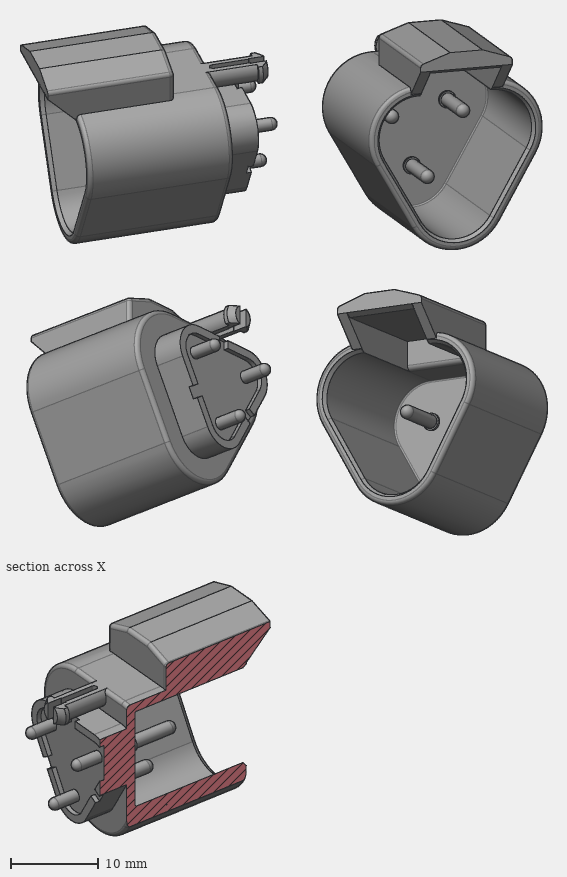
import cadquery as cq
import math


SHELL_LENGTH = 17.3
SHELL_HALF_SIDE = 4.42
SHELL_RADIUS = 6.09
SHELL_EDGE_RADIUS = 0.5
SHELL_TOP = SHELL_HALF_SIDE / math.sqrt(3) + SHELL_RADIUS

RIM_WALL = 0.93
LEAD_IN_DEPTH = 0.5
CAVITY_WALL = 1.26
CAVITY_RADIUS = SHELL_RADIUS - CAVITY_WALL
CAVITY_ROOF = SHELL_TOP - CAVITY_WALL
CAVITY_DEPTH = SHELL_LENGTH - CAVITY_WALL
FLOOR_EDGE_RADIUS = 0.16

PLUG_END = 21.19
PLUG_RADIUS = 3.2
PLUG_WALL = 1.0
RECESS_DEPTH = 0.6
VENT_WIDTH = 1.46

PIN_HALF_SIDE = 4.31
PIN_RADIUS_FRONT = 0.8
PIN_RADIUS_REAR = 0.75
PIN_FRONT_TIP = 9.6
PIN_REAR_TIP = 24.31
COLLAR_RADIUS = 1.0
COLLAR_HEIGHT = 0.3

LATCH_TOP = 13.24
LATCH_HALF_WIDTH = 5.57
LATCH_FLAT_HALF_WIDTH = 1.97
LATCH_SHOULDER = 12.06
LATCH_REAR = 11.68
LATCH_OVERHANG = 3.47
LATCH_FACE_LEAN = 0.08
LATCH_LIP_HEIGHT = 11.24
LATCH_EDGE_RADIUS = 0.5
POCKET_HALF_WIDTH = 4.31
POCKET_REAR = LATCH_REAR - (LATCH_HALF_WIDTH - POCKET_HALF_WIDTH)
POCKET_BEVEL_HEIGHT = 0.42
POCKET_BEVEL_LENGTH = 0.77
POCKET_EDGE_RADIUS = 0.6

STEM_RADIUS = 1.49
STEM_HEIGHT = 2.22
STEM_TIP = 24.16
STEM_ROOT = SHELL_LENGTH - 2 * SHELL_EDGE_RADIUS
HEAD_RADIUS = 1.91
HEAD_TIP_RADIUS = 1.26
HEAD_BEVEL_LENGTH = 0.76
HEAD_LENGTH = 1.26
SLIT_WIDTH = 0.8
SLIT_END = 17.52
SLIT_MOUTH_WIDTH = 1.0
SLIT_MOUTH_DEPTH = 1.83


def section_plane(y):
    """X-Z sketch plane at the given y; sketches on it extrude toward +Y with a negative length."""
    return cq.Workplane("XZ", origin=(0, y, 0))


def triangle_corners(half_side):
    """Corners of an equilateral triangle about the origin, pointing down."""
    base_height = half_side / math.sqrt(3)
    return [(-half_side, base_height), (half_side, base_height), (0, -2 * base_height)]


def rounded_triangle(half_side, radius, y):
    return section_plane(y).polyline(triangle_corners(half_side)).close().offset2D(radius)


def rounded_prism(half_side, radius, y_start, y_end):
    return rounded_triangle(half_side, radius, y_start).extrude(y_start - y_end)


def tapered_prism(radius_start, y_start, radius_end, y_end):
    """Straight-sided transition between two shell sections of different corner radius."""
    start = rounded_triangle(SHELL_HALF_SIDE, radius_start, y_start).val()
    end = rounded_triangle(SHELL_HALF_SIDE, radius_end, y_end).val()
    return cq.Workplane(cq.Solid.makeLoft([start, end], True))


def make_shell():
    body = rounded_prism(SHELL_HALF_SIDE, SHELL_RADIUS, 0, SHELL_LENGTH)
    return body.faces("<Y or >Y").edges().fillet(SHELL_EDGE_RADIUS)


def make_cavity():
    lead_in = tapered_prism(SHELL_RADIUS - RIM_WALL, 0, CAVITY_RADIUS, LEAD_IN_DEPTH)
    bore = rounded_prism(SHELL_HALF_SIDE, CAVITY_RADIUS, 0, CAVITY_DEPTH)
    return bore.faces(">Y").edges().fillet(FLOOR_EDGE_RADIUS).union(lead_in)


def make_latch():
    length = LATCH_REAR + LATCH_OVERHANG
    base = LATCH_LIP_HEIGHT - LATCH_OVERHANG
    roof = (
        section_plane(-LATCH_OVERHANG)
        .moveTo(-LATCH_HALF_WIDTH, base)
        .lineTo(-LATCH_HALF_WIDTH, LATCH_SHOULDER)
        .lineTo(-LATCH_FLAT_HALF_WIDTH, LATCH_TOP)
        .lineTo(LATCH_FLAT_HALF_WIDTH, LATCH_TOP)
        .lineTo(LATCH_HALF_WIDTH, LATCH_SHOULDER)
        .lineTo(LATCH_HALF_WIDTH, base)
        .close()
        .extrude(-length)
    )
    shoulder_box = cq.selectors.BoxSelector(
        (-2 * LATCH_HALF_WIDTH, -2 * length, LATCH_SHOULDER - LATCH_EDGE_RADIUS),
        (2 * LATCH_HALF_WIDTH, 2 * length, LATCH_SHOULDER + LATCH_EDGE_RADIUS),
    )
    roof = roof.edges("|Y").edges(shoulder_box).fillet(LATCH_EDGE_RADIUS)
    roof = roof.faces(">Y").edges("not <Z").fillet(LATCH_EDGE_RADIUS)

    side_outline = (
        cq.Workplane("YZ")
        .moveTo(LATCH_REAR, base)
        .lineTo(LATCH_REAR, LATCH_TOP)
        .lineTo(LATCH_FACE_LEAN - LATCH_OVERHANG, LATCH_TOP)
        .lineTo(-LATCH_OVERHANG, LATCH_LIP_HEIGHT)
        .lineTo(0, base)
        .close()
        .extrude(LATCH_HALF_WIDTH, both=True)
    )
    return roof.intersect(side_outline)


def make_pocket():
    """Space under the latch, open to the front and into the cavity, with a rounded rear lower edge."""
    roof_height = LATCH_LIP_HEIGHT - POCKET_BEVEL_HEIGHT
    return (
        cq.Workplane("YZ")
        .moveTo(-LATCH_OVERHANG, LATCH_LIP_HEIGHT)
        .lineTo(POCKET_BEVEL_LENGTH - LATCH_OVERHANG, roof_height)
        .lineTo(POCKET_REAR, roof_height)
        .lineTo(POCKET_REAR, CAVITY_ROOF + POCKET_EDGE_RADIUS)
        .radiusArc((POCKET_REAR + POCKET_EDGE_RADIUS, CAVITY_ROOF), -POCKET_EDGE_RADIUS)
        .lineTo(-LATCH_OVERHANG, CAVITY_ROOF)
        .close()
        .extrude(POCKET_HALF_WIDTH, both=True)
    )


def make_plug():
    plug = rounded_prism(PIN_HALF_SIDE, PLUG_RADIUS, CAVITY_DEPTH, PLUG_END)
    recess_floor = PLUG_END - RECESS_DEPTH
    plug = plug.cut(rounded_prism(PIN_HALF_SIDE, PLUG_RADIUS - PLUG_WALL, recess_floor, PLUG_END))

    wall_outside = PIN_HALF_SIDE / math.sqrt(3) + PLUG_RADIUS
    vent = cq.Workplane("XY").box(
        VENT_WIDTH, RECESS_DEPTH, 2 * PLUG_WALL
    ).translate((0, PLUG_END - RECESS_DEPTH / 2, wall_outside - PLUG_WALL / 2))
    for angle in (0, 120, 240):
        plug = plug.cut(vent.rotate((0, 0, 0), (0, 1, 0), angle))
    return plug


def make_pin(x, z):
    """Stepped pin with round ends and a low collar where it leaves the cavity floor."""
    front_round = PIN_FRONT_TIP + PIN_RADIUS_FRONT
    rear_round = PIN_REAR_TIP - PIN_RADIUS_REAR
    collar_front = CAVITY_DEPTH - COLLAR_HEIGHT
    half_profile = (
        cq.Workplane("XY")
        .moveTo(0, PIN_FRONT_TIP)
        .radiusArc((PIN_RADIUS_FRONT, front_round), -PIN_RADIUS_FRONT)
        .lineTo(PIN_RADIUS_FRONT, collar_front)
        .lineTo(COLLAR_RADIUS, collar_front)
        .lineTo(COLLAR_RADIUS, CAVITY_DEPTH)
        .lineTo(PIN_RADIUS_REAR, CAVITY_DEPTH)
        .lineTo(PIN_RADIUS_REAR, rear_round)
        .radiusArc((0, PIN_REAR_TIP), -PIN_RADIUS_REAR)
        .close()
    )
    return half_profile.revolve(360, (0, 0, 0), (0, 1, 0)).translate((x, 0, z))


def make_stem():
    """Round stem with a bevelled snap head, flattened above and below and split by a slit."""
    head_start = STEM_TIP - HEAD_LENGTH
    axis_height = SHELL_TOP - STEM_HEIGHT / 2
    stem = (
        cq.Workplane("XY")
        .moveTo(0, STEM_ROOT)
        .lineTo(STEM_RADIUS, STEM_ROOT)
        .lineTo(STEM_RADIUS, head_start)
        .lineTo(HEAD_RADIUS, head_start)
        .lineTo(HEAD_RADIUS, STEM_TIP - HEAD_BEVEL_LENGTH)
        .lineTo(HEAD_TIP_RADIUS, STEM_TIP)
        .lineTo(0, STEM_TIP)
        .close()
        .revolve(360, (0, 0, 0), (0, 1, 0))
    )
    flats = cq.Workplane("XY").box(2 * HEAD_RADIUS, 2 * STEM_TIP, STEM_HEIGHT)
    return stem.intersect(flats).translate((0, 0, axis_height))


def make_slit():
    half_width = SLIT_WIDTH / 2
    half_mouth = SLIT_MOUTH_WIDTH / 2
    mouth_start = STEM_TIP - SLIT_MOUTH_DEPTH
    return (
        cq.Workplane("XY", origin=(0, 0, SHELL_TOP - STEM_HEIGHT))
        .moveTo(-half_width, SLIT_END + half_width)
        .threePointArc((0, SLIT_END), (half_width, SLIT_END + half_width))
        .lineTo(half_width, mouth_start)
        .lineTo(half_mouth, mouth_start)
        .lineTo(half_mouth, STEM_TIP)
        .lineTo(-half_mouth, STEM_TIP)
        .lineTo(-half_mouth, mouth_start)
        .lineTo(-half_width, mouth_start)
        .close()
        .extrude(STEM_HEIGHT)
    )


result = make_shell().union(make_latch())
result = result.cut(make_cavity()).cut(make_pocket())
result = result.union(make_plug())
result = result.union(make_stem().cut(make_slit()))
for pin_x, pin_z in triangle_corners(PIN_HALF_SIDE):
    result = result.union(make_pin(pin_x, pin_z))